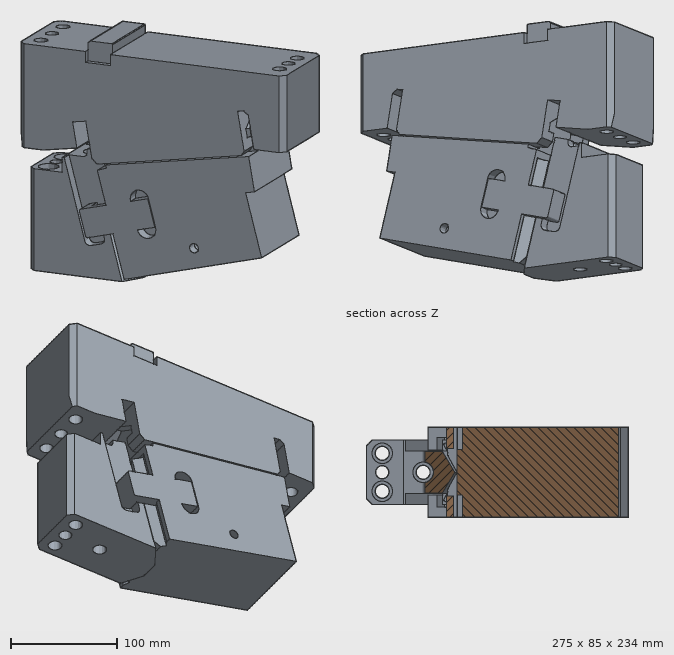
import cadquery as cq
import math


LENGTH = 275.0
WIDTH = 85.0
HALF = WIDTH / 2
CORNER = 5.5
VEE = math.tan(math.radians(30))
BOLT_D = 13.0
DOWEL_D = 12.0
HEAD_D = 19.2
TALL = 550.0

HOLDER_TOP = 225.0
FRONT_FOOT_Z = 123.0
REAR_FOOT_Z = 150.0
TOE_WIDTH = 2.2
TOE_HEIGHT = 13.5
BOLT_INSET = 15.0
FRONT_BOLT_Y = 25.0
REAR_BOLT_Y = 20.0
KEY_X = 69.3
KEY_LENGTH = 25.5
KEY_FLOOR = 214.2
KEY_TOP = 234.0
KEY_WIDTH = 74.0
KEY_FRONT_CHAMFER = 2.0
KEY_REAR_CHAMFER = 0.8

GUIDE_ANGLE = 10.0
GUIDE_ORIGIN = (76.7, 115.2)
FRONT_NOTCH_S = -13.8
FRONT_NOTCH_T = 42.0
FRONT_FOOT_T = 16.5
GUIDE_BEVEL_S = 4.5
GUIDE_BEVEL_T = 5.8
GUIDE_END_S = 159.8
GUIDE_END_BEVEL = 3.8
REAR_NOTCH_S = 170.2
REAR_NOTCH_T = 43.0
REAR_NOTCH_BEVEL = 4.5

NECK_HALF = 21.5
HEAD_HALF = 30.5
SHELF_T = 14.8
SHOULDER_T = 23.0
TONGUE_START_S = 13.5
TONGUE_END_S = 163.5
TONGUE_GAP = 0.8
SLIDE_TOP_T = -1.5

SLIDE_ANGLE = 15.0
SLIDE_ORIGIN = (109.2, 6.3)
SLIDE_REAR_A = 147.5
REAR_STEP_B = 64.0
REAR_STEP_T = -35.8
LEDGE_B = 107.2
LEDGE_END_T = -4.5

RIB_REACH = 6.0
RIB_Y = 26.5
RIB_TOP_B = 100.5
RIB_FOOT_A = -1.5
RIB_FOOT_SLOPE = 1.6
RELIEF_Y = 37.7

HOOK_LOW_B = 44.8
HOOK_HIGH_B = 73.0
HOOK_TIP_A = -29.0
HOOK_LIP = 9.4
HOOK_INNER_Y = 32.7
LIP_INNER_Y = 21.2
HOOK_ROUND = 2.0
HOOK_END_A = 44.8
POCKET_A = 36.0
POCKET_R = 9.5
POCKET_DEPTH = 12.0
SIDE_HOLE_A = 80.0
SIDE_HOLE_B = 19.2
SIDE_HOLE_D = 9.0
SIDE_HOLE_DEPTH = 11.0
DRILL_POINT = 59.0

DRIVER_HALF = 30.5
DRIVER_X = 5.0
DRIVER_REAR_X = 114.0
SEAT_Z = 99.8
STEP_X = 39.5
STEP_Z = 114.5
WEB_X = 60.2
WEB_TOP_B = 124.3
WEB_HALF = 19.8
STEP_FILLET = 4.0
THRUST_EDGE_A = -9.0
SLOT_FRONT_A = -37.0
SLOT_REAR_A = -16.2
SLOT_FLOOR_B = 34.6
SLOT_R = 5.5
FLANGE_TOP_B = 65.2
DRIVER_BOLT_X = 19.8
DRIVER_BOLT_Y = 18.0
REAR_BOLT_X = 58.3
HEAD_SEAT_Z = 55.0


def place(origin, angle, along, square):
    """Turn a point of a tilted frame into X and Z."""
    tilt = math.radians(angle)
    x = origin[0] + along * math.cos(tilt) - square * math.sin(tilt)
    z = origin[1] + along * math.sin(tilt) + square * math.cos(tilt)
    return x, z


def guide(s, t):
    """X and Z of a point in the guide frame."""
    return place(GUIDE_ORIGIN, GUIDE_ANGLE, s, t)


def slide(a, b):
    """X and Z of a point in the slide frame."""
    return place(SLIDE_ORIGIN, SLIDE_ANGLE, a, b)


def slab(points, half_width):
    """Extrude an XZ outline to both sides of Y = 0."""
    return cq.Workplane("XZ").polyline(points).close().extrude(half_width, both=True)


def upright(x, y, diameter, low, high):
    """A vertical cylinder."""
    return cq.Workplane("XY", origin=(x, y, low)).circle(diameter / 2).extrude(high - low)


def along_guide(points, start, end):
    """Extrude a (Y, t) section along the guide."""
    x, z = guide(start, 0)
    tilt = math.radians(GUIDE_ANGLE)
    plane = cq.Plane((x, 0, z), xDir=(0, 1, 0), normal=(math.cos(tilt), 0, math.sin(tilt)))
    return cq.Workplane(plane).polyline(points).close().extrude(end - start)


def along_front(points, low, high):
    """Extrude an (a, Y) section up the slide's front face."""
    x, z = slide(0, low)
    tilt = math.radians(SLIDE_ANGLE)
    plane = cq.Plane(
        (x, 0, z),
        xDir=(math.cos(tilt), 0, math.sin(tilt)),
        normal=(-math.sin(tilt), 0, math.cos(tilt)),
    )
    return cq.Workplane(plane).polyline(points).close().extrude(high - low)


def side_plane(y):
    """The (a, b) plane at a given Y, facing -Y."""
    x, z = SLIDE_ORIGIN
    tilt = math.radians(SLIDE_ANGLE)
    plane = cq.Plane((x, y, z), xDir=(math.cos(tilt), 0, math.sin(tilt)), normal=(0, -1, 0))
    return cq.Workplane(plane)


def both_sides(shape):
    """A shape together with its mirror image in Y = 0."""
    return shape.union(shape.mirror("XZ"))


def tongue_section(gap, bottom):
    """T section with a V roof, widened by a gap everywhere except at the roof."""
    neck = NECK_HALF + gap
    shelf = SHELF_T - gap
    head = HEAD_HALF + gap
    shoulder = SHOULDER_T - gap * VEE
    roof = shoulder + head * VEE
    right = [(neck, bottom), (neck, shelf), (head, shelf), (head, shoulder)]
    left = [(-y, t) for y, t in reversed(right)]
    return right + [(0, roof)] + left


def make_holder():
    foot_slope = math.tan(math.radians(GUIDE_ANGLE))
    notch_foot = guide(FRONT_NOTCH_S, FRONT_FOOT_T)
    foot_end_x = notch_foot[0] - (notch_foot[1] - FRONT_FOOT_Z) / foot_slope
    rear_top = guide(REAR_NOTCH_S, REAR_NOTCH_T - REAR_NOTCH_BEVEL)
    rear_foot_x = rear_top[0] + (rear_top[1] - REAR_FOOT_Z) * foot_slope
    outline = [
        (0, HOLDER_TOP),
        (0, FRONT_FOOT_Z + TOE_HEIGHT),
        (TOE_WIDTH, FRONT_FOOT_Z),
        (foot_end_x, FRONT_FOOT_Z),
        notch_foot,
        guide(FRONT_NOTCH_S, FRONT_NOTCH_T),
        guide(0, FRONT_NOTCH_T),
        guide(0, GUIDE_BEVEL_T),
        guide(GUIDE_BEVEL_S, 0),
        guide(GUIDE_END_S - GUIDE_END_BEVEL, 0),
        guide(GUIDE_END_S, GUIDE_END_BEVEL),
        guide(GUIDE_END_S, REAR_NOTCH_T),
        guide(REAR_NOTCH_S - REAR_NOTCH_BEVEL, REAR_NOTCH_T),
        rear_top,
        (rear_foot_x, REAR_FOOT_Z),
        (LENGTH, REAR_FOOT_Z),
        (LENGTH, HOLDER_TOP),
    ]
    body = slab(outline, HALF)

    envelope = cq.Workplane("XY").center(LENGTH / 2, 0).rect(LENGTH, WIDTH).extrude(HOLDER_TOP)
    body = body.intersect(envelope.edges("|Z").chamfer(CORNER))

    notch_middle = (GUIDE_END_S + REAR_NOTCH_S) / 2
    slot_section = tongue_section(TONGUE_GAP, -GUIDE_BEVEL_T)
    body = body.cut(along_guide(slot_section, FRONT_NOTCH_S / 2, notch_middle))

    key_rear = KEY_X + KEY_LENGTH
    body = body.cut(
        slab([(KEY_X, KEY_FLOOR), (key_rear, KEY_FLOOR), (key_rear, KEY_TOP), (KEY_X, KEY_TOP)], HALF)
    )
    key_outline = [
        (KEY_X, KEY_FLOOR),
        (key_rear, KEY_FLOOR),
        (key_rear, KEY_TOP - KEY_REAR_CHAMFER),
        (key_rear - KEY_REAR_CHAMFER, KEY_TOP),
        (KEY_X + KEY_FRONT_CHAMFER, KEY_TOP),
        (KEY_X, KEY_TOP - KEY_FRONT_CHAMFER),
    ]
    body = body.union(slab(key_outline, KEY_WIDTH / 2))

    for x, bolt_y in ((BOLT_INSET, FRONT_BOLT_Y), (LENGTH - BOLT_INSET, REAR_BOLT_Y)):
        for y, diameter in ((-bolt_y, BOLT_D), (0, DOWEL_D), (bolt_y, BOLT_D)):
            body = body.cut(upright(x, y, diameter, 0, HOLDER_TOP))
    return body


def make_rib():
    """One thrust rib on the +Y half of the slide's front, with a bevelled foot."""
    outer_y = RIB_Y + RIB_REACH * VEE
    inner_y = RIB_Y - RIB_REACH / VEE
    rib = along_front([(-RIB_REACH, RIB_Y), (0, outer_y), (0, inner_y)], 0, RIB_TOP_B)
    reach = 2 * RIB_REACH
    foot = [
        slide(RIB_FOOT_A, 0),
        slide(RIB_FOOT_A - reach, reach * RIB_FOOT_SLOPE),
        slide(RIB_FOOT_A - reach, 0),
    ]
    return rib.cut(slab(foot, HALF))


def make_hook():
    """The hook on the -Y side, with an inward lip at its tip."""
    height = HOOK_HIGH_B - HOOK_LOW_B
    middle = (HOOK_HIGH_B + HOOK_LOW_B) / 2
    arm = (
        side_plane(-HOOK_INNER_Y)
        .center(HOOK_TIP_A / 2, middle)
        .rect(-HOOK_TIP_A + 2 * HOOK_LIP, height)
        .extrude(HALF - HOOK_INNER_Y)
    )
    lip = (
        side_plane(-LIP_INNER_Y)
        .center(HOOK_TIP_A + HOOK_LIP / 2, middle)
        .rect(HOOK_LIP, height)
        .extrude(HALF - LIP_INNER_Y)
    )
    rounded = (
        side_plane(0)
        .center((HOOK_TIP_A + TALL) / 2, middle)
        .rect(TALL - HOOK_TIP_A, height)
        .extrude(HALF)
        .edges("|Y")
        .fillet(HOOK_ROUND)
    )
    return arm.union(lip).intersect(rounded)


def make_hook_pocket():
    """Round-ended pocket in the -Y side, filled between its end arcs by the hook's root."""
    height = HOOK_HIGH_B - HOOK_LOW_B
    middle = (HOOK_HIGH_B + HOOK_LOW_B) / 2
    pocket = (
        side_plane(POCKET_DEPTH - HALF)
        .center(POCKET_A, middle)
        .slot2D(height + 2 * POCKET_R, 2 * POCKET_R, 90)
        .extrude(POCKET_DEPTH)
    )
    root = (
        side_plane(POCKET_DEPTH - HALF)
        .center(HOOK_END_A / 2, middle)
        .rect(HOOK_END_A, height)
        .extrude(POCKET_DEPTH)
    )
    return pocket.cut(root)


def make_side_hole():
    """Blind drilled hole in the -Y side."""
    radius = SIDE_HOLE_D / 2
    point = radius / math.tan(math.radians(DRILL_POINT))
    x, z = slide(SIDE_HOLE_A, SIDE_HOLE_B)
    start = cq.Vector(x, -HALF, z)
    inward = cq.Vector(0, 1, 0)
    bore = cq.Solid.makeCylinder(radius, SIDE_HOLE_DEPTH, start, inward)
    tip = cq.Solid.makeCone(radius, 0, point, start + inward * SIDE_HOLE_DEPTH, inward)
    return cq.Workplane(bore).union(cq.Workplane(tip))


def make_slide():
    outline = [
        slide(0, 0),
        slide(SLIDE_REAR_A, 0),
        slide(SLIDE_REAR_A, REAR_STEP_B),
        guide(TONGUE_END_S, REAR_STEP_T),
        guide(TONGUE_END_S, SLIDE_TOP_T),
        guide(TONGUE_START_S, SLIDE_TOP_T),
        guide(TONGUE_START_S, LEDGE_END_T),
        slide(0, LEDGE_B),
    ]
    body = slab(outline, HALF)
    body = body.union(along_guide(tongue_section(0, SLIDE_TOP_T), TONGUE_START_S, TONGUE_END_S))

    groove_y = RIB_Y - RIB_REACH / VEE
    groove = [(0, groove_y), (groove_y * VEE, 0), (0, -groove_y)]
    body = body.cut(along_front(groove, 0, WEB_TOP_B))

    outer_y = RIB_Y + RIB_REACH * VEE
    relief_depth = (RELIEF_Y - outer_y) / (VEE + 1 / VEE)
    relief = [(0, RELIEF_Y), (relief_depth, outer_y + relief_depth * VEE), (0, outer_y)]
    body = body.cut(both_sides(along_front(relief, 0, RIB_TOP_B)))
    body = body.union(both_sides(make_rib()))

    body = body.union(both_sides(make_hook()))
    body = body.cut(both_sides(make_hook_pocket()))
    return body.cut(both_sides(make_side_hole()))


def make_hook_slot():
    """Clearance in the -Y side of the driver for a hook, leaving a flange for it to catch."""
    width = SLOT_REAR_A - SLOT_FRONT_A
    depth = DRIVER_HALF - WEB_HALF
    slot = (
        side_plane(-WEB_HALF)
        .center((SLOT_FRONT_A + SLOT_REAR_A) / 2, SLOT_FLOOR_B + TALL / 2)
        .rect(width, TALL)
        .extrude(depth)
        .edges("|Y")
        .fillet(SLOT_R)
    )
    above_flange = (
        side_plane(-WEB_HALF)
        .center(SLOT_FRONT_A + TALL / 2, FLANGE_TOP_B + TALL / 2)
        .rect(TALL, TALL)
        .extrude(depth)
    )
    return slot.union(above_flange)


def make_driver():
    peak_a = THRUST_EDGE_A + DRIVER_HALF * VEE
    peak_x, peak_z = slide(peak_a, WEB_TOP_B)
    web_front_z = peak_z - (peak_x - WEB_X) * math.tan(math.radians(SLIDE_ANGLE))
    outline = [
        (DRIVER_X, 0),
        (DRIVER_REAR_X, 0),
        (DRIVER_REAR_X, SEAT_Z),
        (peak_x, peak_z),
        (WEB_X, web_front_z),
        (WEB_X, STEP_Z),
        (STEP_X, STEP_Z),
        (STEP_X, SEAT_Z),
        (DRIVER_X, SEAT_Z),
    ]
    body = slab(outline, DRIVER_HALF)
    body = body.edges(cq.selectors.NearestToPointSelector((WEB_X, 0, STEP_Z))).fillet(STEP_FILLET)
    body = body.edges("|Z and <X").chamfer(CORNER)

    front_a = -TALL / 2
    thrust = [
        (front_a, -DRIVER_HALF),
        (THRUST_EDGE_A, -DRIVER_HALF),
        (peak_a, 0),
        (THRUST_EDGE_A, DRIVER_HALF),
        (front_a, DRIVER_HALF),
    ]
    body = body.intersect(along_front(thrust, front_a, TALL / 2))
    body = body.cut(both_sides(make_hook_slot()))

    body = body.cut(upright(DRIVER_BOLT_X, 0, DOWEL_D, 0, SEAT_Z))
    bolts = [(DRIVER_BOLT_X, -DRIVER_BOLT_Y), (DRIVER_BOLT_X, DRIVER_BOLT_Y), (REAR_BOLT_X, 0)]
    for x, y in bolts:
        body = body.cut(upright(x, y, BOLT_D, 0, TALL))
        body = body.cut(upright(x, y, HEAD_D, HEAD_SEAT_Z, TALL))
    return body


holder = make_holder()
cam_slide = make_slide()
driver = make_driver()
result = cq.Compound.makeCompound([body.solids().val() for body in (holder, cam_slide, driver)])